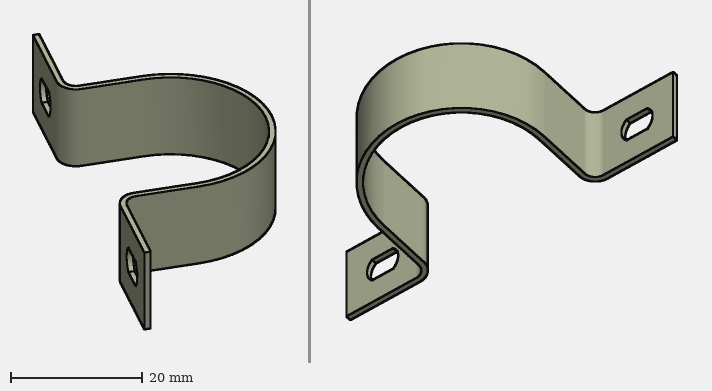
import cadquery as cq

overall_length = 63.0
overall_depth = 29.0
strip_width = 14.0
thickness = 1.0

arch_outer_radius = 16.0
bend_inner_radius = 2.0

hole_diameter = 6.0
hole_flat_height = 4.4
hole_spacing = 49.0

arch_inner_radius = arch_outer_radius - thickness
bend_outer_radius = bend_inner_radius + thickness
tab_front = arch_outer_radius - overall_depth
tab_back = tab_front + thickness
tab_end = overall_length / 2
bend_x = arch_outer_radius + bend_inner_radius
bend_y = tab_back + bend_inner_radius


def make_arch():
    """Half ring that wraps around the pipe."""
    ring = cq.Workplane("XY").circle(arch_outer_radius).circle(arch_inner_radius).extrude(strip_width)
    back_half = cq.Workplane("XY").rect(overall_length, overall_length).extrude(strip_width)
    return ring.intersect(back_half.translate((0, overall_length / 2, 0)))


def make_leg():
    """Straight wall, quarter bend and flat tab on the +X side."""
    diagonal = 0.5 ** 0.5
    outer_mid = (bend_x - bend_outer_radius * diagonal, bend_y - bend_outer_radius * diagonal)
    inner_mid = (bend_x - bend_inner_radius * diagonal, bend_y - bend_inner_radius * diagonal)
    return (
        cq.Workplane("XY")
        .moveTo(arch_inner_radius, 0)
        .lineTo(arch_inner_radius, bend_y)
        .threePointArc(outer_mid, (bend_x, tab_front))
        .lineTo(tab_end, tab_front)
        .lineTo(tab_end, tab_back)
        .lineTo(bend_x, tab_back)
        .threePointArc(inner_mid, (arch_outer_radius, bend_y))
        .lineTo(arch_outer_radius, 0)
        .close()
        .extrude(strip_width)
    )


def make_hole_cutter(x):
    """Flat-sided round cutter through the tab, along Y."""
    plane = cq.Workplane("XZ", origin=(x, tab_back, strip_width / 2))
    cylinder = plane.circle(hole_diameter / 2).extrude(thickness)
    flats = plane.rect(hole_diameter, hole_flat_height).extrude(thickness)
    return cylinder.intersect(flats)


leg = make_leg()
result = make_arch().union(leg).union(leg.mirror("YZ"))
for side in (-1, 1):
    result = result.cut(make_hole_cutter(side * hole_spacing / 2))